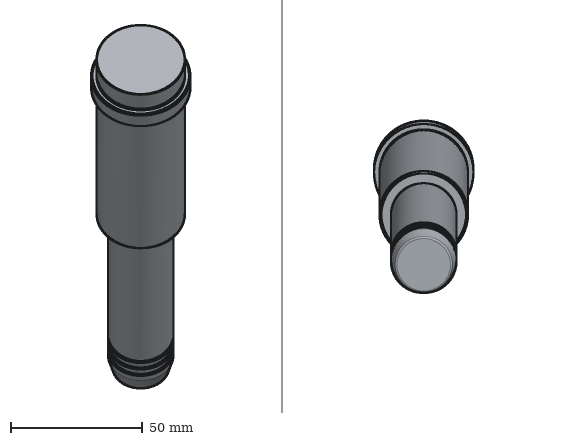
import cadquery as cq

total_height = 190.0
body_bottom = 94.0
flange_bottom = 173.0
flange_top = 180.1

flange_radius = 19.0
body_radius = 17.0
shaft_radius = 12.5
tip_radius = 10.8

flange_chamfer = 0.5
body_chamfer = 0.8
top_chamfer = 0.2
tip_height = 7.5
tip_fillet = 0.8

relief_width = 1.0
body_relief_depth = 0.4
shaft_relief_depth = 0.5

groove_count = 3
groove_width = 1.1
groove_depth = 0.4
groove_pitch = 4.0
lowest_groove_bottom = 10.3


def cylinder(radius, bottom, top):
    """Upright cylinder on the part axis."""
    return cq.Workplane("XY").workplane(offset=bottom).circle(radius).extrude(top - bottom)


def ring_groove(radius, depth, bottom, width):
    """Ring that cuts a groove with 45 degree walls into a cylinder of the given radius."""
    floor = radius - depth
    top = bottom + width
    section = [(radius, bottom), (floor, bottom + depth), (floor, top - depth), (radius, top)]
    return cq.Workplane("XZ").polyline(section).close().revolve(360, (0, 0, 0), (0, 1, 0))


def square_relief(radius, depth, bottom, width):
    """Ring that cuts a square relief into a cylinder of the given radius."""
    outer = cylinder(radius, bottom, bottom + width)
    return outer.cut(cylinder(radius - depth, bottom, bottom + width))


def make_shaft():
    """Slim shaft with a tapered, rounded tip and evenly spaced grooves."""
    tip = (
        cq.Workplane("XY")
        .circle(tip_radius)
        .workplane(offset=tip_height)
        .circle(shaft_radius)
        .loft(ruled=True)
        .faces("<Z")
        .edges()
        .fillet(tip_fillet)
    )
    shaft = tip.union(cylinder(shaft_radius, tip_height, body_bottom))
    for index in range(groove_count):
        bottom = lowest_groove_bottom + index * groove_pitch
        shaft = shaft.cut(ring_groove(shaft_radius, groove_depth, bottom, groove_width))
    relief_bottom = body_bottom - relief_width
    return shaft.cut(square_relief(shaft_radius, shaft_relief_depth, relief_bottom, relief_width))


def make_body():
    """Wide body with chamfered ends and a relief groove on each side of the flange."""
    body = cylinder(body_radius, body_bottom, total_height)
    body = body.faces("<Z").edges().chamfer(body_chamfer)
    body = body.faces(">Z").edges().chamfer(top_chamfer)
    for bottom in (flange_bottom - relief_width, flange_top):
        body = body.cut(ring_groove(body_radius, body_relief_depth, bottom, relief_width))
    return body


def make_flange():
    """Collar with its upper outer edge chamfered."""
    flange = cylinder(flange_radius, flange_bottom, flange_top)
    return flange.faces(">Z").edges().chamfer(flange_chamfer)


result = make_shaft().union(make_body()).union(make_flange())